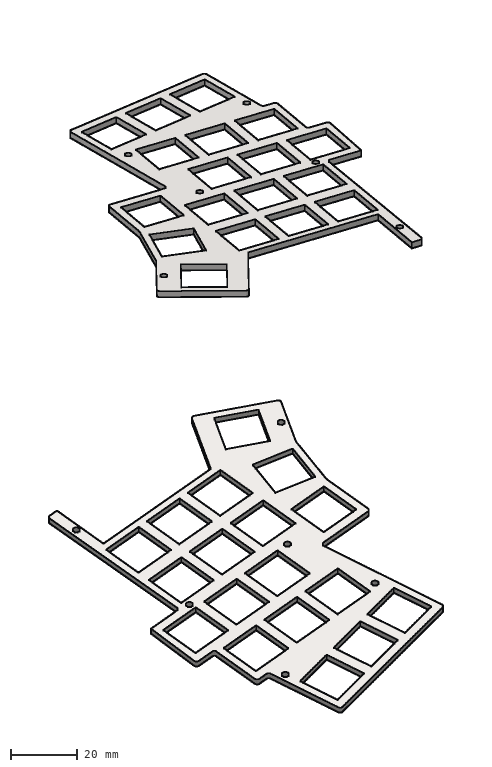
import cadquery as cq
import math

plate_length = 121.0
thickness = 2.2

opening = 13.9
half_opening = opening / 2
rows = 3
column_pitch = 18.4
row_pitch = 17.4
side_wall = 3.1
slim_wall = 2.4
tower_right_gap = 1.5

first_column_x = 36.4
bottom_key_heights = [45.5, 53.0, 40.9, 40.9]

lean_angle = 10.0
lean_pitch = 17.7
lean_key = (17.4, 38.0)
lean_wall = 2.5

inner_thumb = (64.5, 23.6)
middle_thumb = (84.8, 20.5)
outer_thumb = (106.4, 17.0)
middle_thumb_angle = -15.0
outer_thumb_angle = -30.0
inner_thumb_wall = 2.8
outer_thumb_upper_wall = 6.5
outer_thumb_lower_wall = 7.5

step_top = 89.9
tower_left_top = 97.5
tower_right_top = 97.0
arm_root_top = 85.1
arm_end_top = 85.4
arm_bottom = 81.4

screw_diameter = 2.2
screw_centres = [
    (22.1, 82.0),
    (64.0, 81.4),
    (111.0, 83.1),
    (61.6, 42.0),
    (31.0, 35.0),
    (100.2, 6.4),
]

corner_radius = 1.0
tower_foot_radius = 0.6
outer_bend_radius = 2.4


def offset_point(centre, angle, along, across):
    """Point reached from centre by moving in axes turned by angle degrees."""
    turn = math.radians(angle)
    x = centre[0] + along * math.cos(turn) - across * math.sin(turn)
    y = centre[1] + along * math.sin(turn) + across * math.cos(turn)
    return (x, y)


def height_on_line(point, angle, x):
    """Height at x of the line through point that slopes at angle degrees."""
    return point[1] + (x - point[0]) * math.tan(math.radians(angle))


def meeting_point(point_a, angle_a, point_b, angle_b):
    """Intersection of two sloping lines."""
    slope_a = math.tan(math.radians(angle_a))
    slope_b = math.tan(math.radians(angle_b))
    rise = point_b[1] - point_a[1] + slope_b * (point_a[0] - point_b[0])
    x = point_a[0] + rise / (slope_a - slope_b)
    return (x, height_on_line(point_a, angle_a, x))


column_xs = [first_column_x + i * column_pitch for i in range(len(bottom_key_heights))]
step_left = column_xs[0] - half_opening - side_wall
tower_left = column_xs[1] - half_opening - side_wall
tower_right = column_xs[2] - half_opening - tower_right_gap
grid_right = column_xs[-1] + half_opening + slim_wall
thumb_left = inner_thumb[0] - half_opening - side_wall
thumb_bottom = inner_thumb[1] - half_opening - inner_thumb_wall

lean_height = (rows - 1) * lean_pitch + half_opening + lean_wall
lean_cos = math.cos(math.radians(lean_angle))
lean_sin = math.sin(math.radians(lean_angle))
lean_corner_x = corner_radius * (1 - lean_cos - lean_sin)
lean_side = (lean_corner_x - lean_key[0] + lean_height * lean_sin) / lean_cos
lean_bottom_left = offset_point(lean_key, lean_angle, lean_side, -half_opening - lean_wall)
lean_top_left = offset_point(lean_key, lean_angle, lean_side, lean_height)
lean_top_right = (step_left, height_on_line(lean_top_left, lean_angle, step_left))
lean_bottom_right = (thumb_left, height_on_line(lean_bottom_left, lean_angle, thumb_left))

thumb_end = half_opening + slim_wall
outer_thumb_top = offset_point(
    outer_thumb, outer_thumb_angle, thumb_end, half_opening + outer_thumb_upper_wall
)
outer_thumb_bottom = offset_point(
    outer_thumb, outer_thumb_angle, thumb_end, -half_opening - outer_thumb_lower_wall
)
middle_edge = offset_point(middle_thumb, middle_thumb_angle, 0, -half_opening - slim_wall)
grid_corner = (grid_right, height_on_line(outer_thumb_top, outer_thumb_angle, grid_right))
outer_bend = meeting_point(
    middle_edge, middle_thumb_angle, outer_thumb_bottom, outer_thumb_angle
)
inner_bend = meeting_point(middle_edge, middle_thumb_angle, (thumb_left, thumb_bottom), 0)

outline = [
    (lean_bottom_left, corner_radius),
    (lean_top_left, corner_radius),
    (lean_top_right, corner_radius),
    ((step_left, step_top), corner_radius),
    ((tower_left, step_top), tower_foot_radius),
    ((tower_left, tower_left_top), corner_radius),
    ((tower_right, tower_right_top), 0),
    ((tower_right, arm_root_top), corner_radius),
    ((plate_length, arm_end_top), corner_radius),
    ((plate_length, arm_bottom), 0),
    ((grid_right, arm_bottom), 0),
    (grid_corner, 0),
    (outer_thumb_top, corner_radius),
    (outer_thumb_bottom, corner_radius),
    (outer_bend, outer_bend_radius),
    (inner_bend, corner_radius),
    ((thumb_left, thumb_bottom), corner_radius),
    (lean_bottom_right, corner_radius),
]


def make_plate():
    plate = cq.Workplane("XY").polyline([corner for corner, _ in outline]).close().extrude(thickness)
    for (x, y), radius in outline:
        if radius > 0:
            corner_edge = cq.selectors.NearestToPointSelector((x, y, thickness / 2))
            plate = plate.edges("|Z").edges(corner_edge).fillet(radius)
    return plate


def key_positions():
    """Centre and rotation of every key opening."""
    keys = [
        (inner_thumb, 0),
        (middle_thumb, middle_thumb_angle),
        (outer_thumb, outer_thumb_angle),
    ]
    for row in range(rows):
        keys.append((offset_point(lean_key, lean_angle, 0, row * lean_pitch), lean_angle))
        for x, bottom_height in zip(column_xs, bottom_key_heights):
            keys.append(((x, bottom_height + row * row_pitch), 0))
    return keys


def key_cutter(centre, angle):
    block = cq.Workplane("XY").rect(opening, opening).extrude(thickness)
    return block.rotate((0, 0, 0), (0, 0, 1), angle).translate((centre[0], centre[1], 0))


result = make_plate()
for key_centre, key_angle in key_positions():
    result = result.cut(key_cutter(key_centre, key_angle))

screws = cq.Workplane("XY").pushPoints(screw_centres).circle(screw_diameter / 2).extrude(thickness)
result = result.cut(screws)